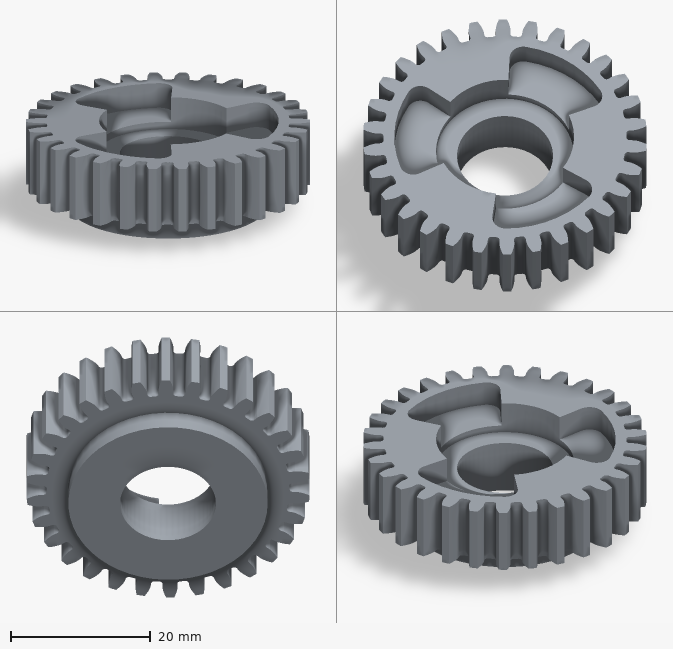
import cadquery as cq
import math

tooth_count = 30
tip_radius = 20.3
module = 2 * tip_radius / (tooth_count + 2)
pitch_radius = module * tooth_count / 2
root_radius = 17.4
pressure_angle = math.radians(14.5)
base_radius = pitch_radius * math.cos(pressure_angle)
root_fillet = 0.5
flank_points = 6

total_height = 12.75
face_width = 9.5
gear_bottom = total_height - face_width
bearing_height = 7.92

bearing_radius = 14.25
bearing_bore_radius = 6.85
gear_bore_radius = 9.88

pocket_count = 3
pocket_radius = 15.85
pocket_half_angle = math.radians(32.4)
pocket_depth = 3.75
pocket_fillet = 1.95


def polar(radius, angle):
    return (radius * math.cos(angle), radius * math.sin(angle))


def involute(angle):
    return math.tan(angle) - angle


def tooth_half_angle(radius):
    """Half the angle spanned by a tooth at a radius on its involute flank."""
    flank_angle = math.acos(min(1.0, base_radius / radius))
    half_angle_at_pitch = math.pi / (2 * tooth_count)
    return half_angle_at_pitch + involute(pressure_angle) - involute(flank_angle)


def make_tooth_space():
    """Cutter for the gap centred on +X: radial walls at the root, then involute flanks."""
    half_pitch = math.pi / tooth_count
    step = (tip_radius - base_radius) / (flank_points - 1)
    radii = [base_radius + i * step for i in range(flank_points)]
    upper = [polar(r, half_pitch - tooth_half_angle(r)) for r in radii]
    lower = [(x, -y) for x, y in reversed(upper)]
    root_angle = half_pitch - tooth_half_angle(base_radius)
    outer_x = tip_radius + module
    space = (
        cq.Workplane("XY", origin=(0, 0, gear_bottom))
        .moveTo(*polar(root_radius, -root_angle))
        .threePointArc((root_radius, 0), polar(root_radius, root_angle))
        .lineTo(*upper[0])
        .spline(upper[1:], includeCurrent=True)
        .lineTo(outer_x, upper[-1][1])
        .lineTo(outer_x, lower[0][1])
        .lineTo(*lower[0])
        .spline(lower[1:], includeCurrent=True)
        .close()
        .extrude(face_width)
    )
    return space.edges("|Z").edges("<X").fillet(root_fillet)


def make_pocket():
    """Rounded sector cutter centred on -Y; its apex lies inside the gear bore."""
    down = -math.pi / 2
    pocket = (
        cq.Workplane("XY", origin=(0, 0, total_height - pocket_depth))
        .lineTo(*polar(pocket_radius, down - pocket_half_angle))
        .threePointArc(
            polar(pocket_radius, down),
            polar(pocket_radius, down + pocket_half_angle),
        )
        .close()
        .extrude(pocket_depth)
    )
    return pocket.edges("|Z").edges("<Y").fillet(pocket_fillet)


def make_gear():
    blank = cq.Workplane("XY", origin=(0, 0, gear_bottom)).circle(tip_radius)
    gear = blank.circle(gear_bore_radius).extrude(face_width)

    seat = cq.Workplane("XY").circle(bearing_radius).extrude(bearing_height)
    gear = gear.cut(seat)

    pocket = make_pocket()
    for i in range(pocket_count):
        gear = gear.cut(pocket.rotate((0, 0, 0), (0, 0, 1), i * 360 / pocket_count))

    space = make_tooth_space()
    tooth_pitch = 360 / tooth_count
    for i in range(tooth_count):
        angle = 90 + (i + 0.5) * tooth_pitch
        gear = gear.cut(space.rotate((0, 0, 0), (0, 0, 1), angle))
    return gear


def make_bearing():
    """Plain ring that fills the seat and projects below the gear."""
    ring = cq.Workplane("XY").circle(bearing_radius).circle(bearing_bore_radius)
    return ring.extrude(bearing_height)


gear = make_gear()
bearing = make_bearing()

result = cq.Compound.makeCompound([gear.val(), bearing.val()])